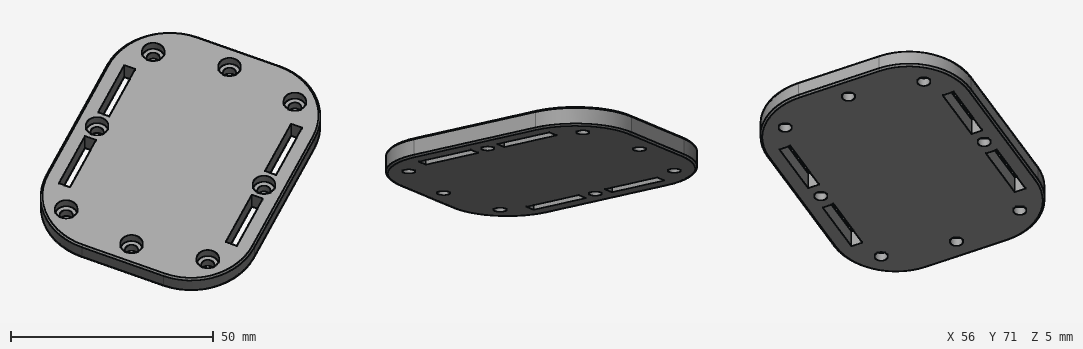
import cadquery as cq

width = 56.0
length = 71.0
thickness = 5.0
corner_radius = 17.0
edge_chamfer = 0.5

hole_diameter = 3.3
counterbore_diameter = 5.6
counterbore_depth = 2.5
side_x = 22.5
end_hole_y = 29.95
corner_hole_x = 19.1
corner_hole_y = 26.6

slot_width = 3.0
slot_length = 16.0
slot_y = 12.0

SIGNS = (-1, 1)


def make_plate():
    """Rounded plate, centred in X and Y, with chamfered top and bottom rims."""
    plate = cq.Workplane("XY").rect(width, length).extrude(thickness)
    plate = plate.edges("|Z").fillet(corner_radius)
    return plate.faces("<Z or >Z").edges().chamfer(edge_chamfer)


def cut_screw_holes(plate):
    """Ring of eight through holes, counterbored from the top."""
    points = [(sx * corner_hole_x, sy * corner_hole_y) for sx in SIGNS for sy in SIGNS]
    points += [(sx * side_x, 0) for sx in SIGNS]
    points += [(0, sy * end_hole_y) for sy in SIGNS]
    top = plate.faces(">Z").workplane(origin=(0, 0, thickness))
    return top.pushPoints(points).cboreHole(hole_diameter, counterbore_diameter, counterbore_depth)


def cut_slots(plate):
    """Two rectangular through slots along each long side."""
    points = [(sx * side_x, sy * slot_y) for sx in SIGNS for sy in SIGNS]
    top = plate.faces(">Z").workplane(origin=(0, 0, thickness))
    return top.pushPoints(points).rect(slot_width, slot_length).cutThruAll()


result = cut_slots(cut_screw_holes(make_plate()))